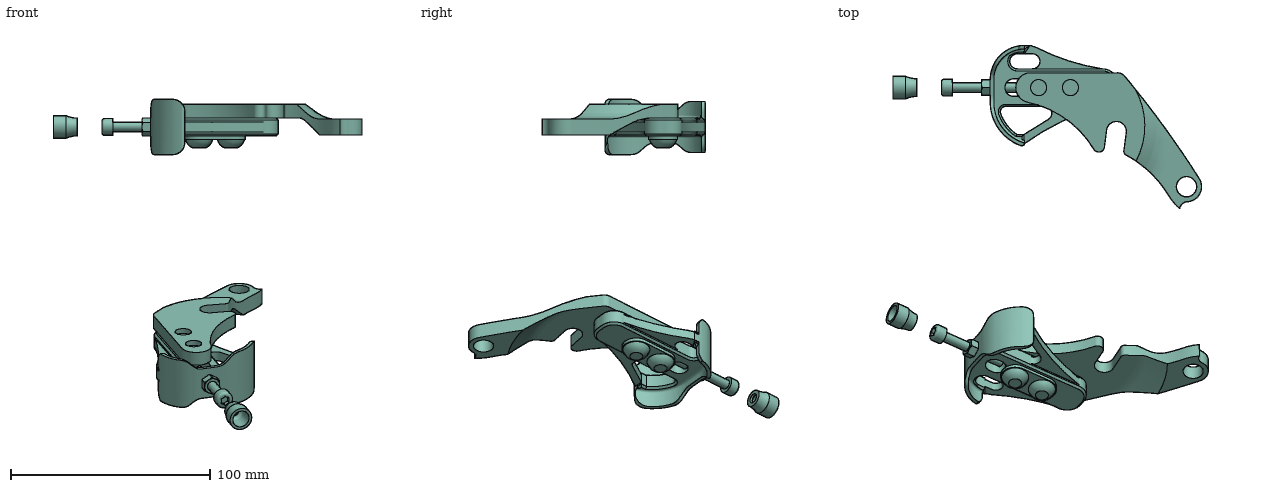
import cadquery as cq
import math


screw_dia = 5.0

cap_start_x = -48.8
cap_length = 12.1
cap_body_length = 6.4
cap_dia = 11.5
cap_neck_dia = 9.0
cap_bore_dia = 8.5
cap_end_wall = 1.5

screw_head_x = -24.5
screw_head_length = 5.6
screw_head_dia = 8.5
screw_head_round = 1.4
screw_length = 35.0
socket_flats = 4.2
socket_depth = 2.5

nut_flats = 7.9
nut_length = 4.3
nut_chamfer_rise = 0.5

guard_wall = 1.9
guard_half_height = 14.0
guard_rear_half_height = 12.9
guard_waist_half_height = 8.0
guard_flat_top_y = 4.0
guard_flat_bottom_y = -7.3
guard_rear_radius = 17.2
guard_front_radius = 23.2
guard_end_x = guard_rear_radius
guard_tip_round = 1.2
guard_mid_x = 5.5
guard_corner_radius = 6.2
guard_root_fillet = 1.2

rib_half_thickness = 4.5
rib_half_width = 9.5
rib_end_x = 64.2
rib_end_radius = 7.7
rib_chamfer = 1.1
flange_half_thickness = 2.5
flange_rear_x = 20.1
flange_rear_bend = (23.2, 20.1)
flange_rear_bulge = (34.9, 15.0)
flange_front_start = (guard_end_x, -28.2)
flange_front_bulge = (38.0, -16.1)
rear_window_start_x = 9.9
rear_window_end_x = 25.0
rear_window_top_y = 16.9
front_window_top = (7.7, -rib_half_width)
front_window_round = (5.7, -10.5)
front_window_side = (5.3, -12.9)
front_window_bulge = (8.7, -19.0)
front_window_corner = (13.5, -23.5)
front_window_tip = (16.9, -23.5)
front_window_far_start = (27.9, -rib_half_width)
front_window_far_round = (30.8, -12.4)
front_window_far_end = (29.1, -16.0)
rib_front_x = 14.5
rib_tip = (17.2, -27.5)
slot_start_x = 7.5
slot_end_x = 18.0
slot_width = 8.7

bolt_xs = (24.3, 40.3)
bolt_dia = 8.0
bolt_head_dia = 13.6
bolt_head_flat_dia = 6.5
bolt_dome_mid_dia = 11.8
bolt_head_height = 4.2
bolt_recess = 2.6
plate_thickness = 1.9
plate_width = 14.5

lever_thickness = 7.0
lever_nose_radius = 7.5
lever_nose_x = 20.3
foot_thickness = 8.0
foot_hole_dia = 10.0
foot_x = 98.5
foot_y = -49.7
foot_radius = 7.6
hook_x = 63.4
hook_y = -22.0
hook_radius = 5.0
bend_axis = (39.8, -19.2)
bend_start_radius = 37.8
bend_under_start_radius = 38.7
bend_slope = math.radians(36)
bend_top_fillet = 15.5
bend_under_fillet = 7.7

guard_rear_y = guard_flat_top_y + guard_rear_radius
plate_top_z = -rib_half_thickness
plate_bottom_z = plate_top_z - plate_thickness
lever_top_z = rib_half_thickness + lever_thickness
foot_top_z = foot_thickness / 2


def rod(start_x, end_x, diameter):
    """Cylinder on the screw axis."""
    return cq.Workplane("YZ").workplane(offset=start_x).circle(diameter / 2).extrude(end_x - start_x)


def upright(x, diameter, bottom_z, top_z):
    """Vertical cylinder on the centre line."""
    base = cq.Workplane("XY", origin=(x, 0, bottom_z))
    return base.circle(diameter / 2).extrude(top_z - bottom_z)


def centred_slab(outline, half_thickness):
    """Closed plan outline thickened equally above and below Z = 0."""
    return outline.extrude(half_thickness, both=True)


def make_cap():
    end_x = cap_start_x + cap_length
    taper_x = cap_start_x + cap_body_length
    outer_r = cap_dia / 2
    neck_r = cap_neck_dia / 2
    bore_r = cap_bore_dia / 2
    hole_r = screw_dia / 2
    bore_round = bore_r - hole_r
    bore_end_x = end_x - cap_end_wall
    bend = bore_round * math.sqrt(0.5)
    profile = (
        cq.Workplane("XY")
        .moveTo(cap_start_x, bore_r)
        .lineTo(cap_start_x, outer_r)
        .lineTo(taper_x, outer_r)
        .threePointArc(((taper_x + end_x) / 2, neck_r + (outer_r - neck_r) / 4), (end_x, neck_r))
        .lineTo(end_x, hole_r)
        .lineTo(bore_end_x, hole_r)
        .threePointArc((bore_end_x - bore_round + bend, hole_r + bend), (bore_end_x - bore_round, bore_r))
        .close()
    )
    return profile.revolve(360, (0, 0, 0), (1, 0, 0))


def make_screw():
    shoulder_x = screw_head_x + screw_head_length
    head = rod(screw_head_x, shoulder_x, screw_head_dia).faces("<X").edges().fillet(screw_head_round)
    shank = rod(shoulder_x, shoulder_x + screw_length, screw_dia)
    socket = (
        cq.Workplane("YZ", origin=(screw_head_x, 0, 0))
        .transformed(rotate=(0, 0, 90))
        .polygon(6, socket_flats / math.cos(math.pi / 6))
        .extrude(socket_depth)
    )
    return head.union(shank).cut(socket)


def make_nut():
    corner_r = nut_flats / 2 / math.cos(math.pi / 6)
    hexagon = (
        cq.Workplane("YZ", origin=(-nut_length, 0, 0))
        .transformed(rotate=(0, 0, 90))
        .polygon(6, 2 * corner_r)
        .extrude(nut_length)
    )
    envelope = rod(-nut_length, 0, 2 * corner_r).faces("<X").edges().chamfer(
        nut_chamfer_rise, corner_r - nut_flats / 2
    )
    return hexagon.intersect(envelope).cut(rod(-nut_length, 0, screw_dia))


rear_centre = (guard_rear_radius, guard_flat_top_y)
front_centre = (guard_front_radius, guard_flat_bottom_y)


def on_rear_arc(inset, x):
    """Point on the rear guard arc, moved inward by inset."""
    radius = guard_rear_radius - inset
    return (x, rear_centre[1] + math.sqrt(radius**2 - (x - rear_centre[0]) ** 2))


def on_front_arc(inset, x):
    """Point on the front guard arc, moved inward by inset."""
    radius = guard_front_radius - inset
    return (x, front_centre[1] - math.sqrt(radius**2 - (x - front_centre[0]) ** 2))


def guard_band(outer_inset, inner_inset, half_height):
    """Band that follows the guard between two distances from its outer face."""
    outline = (
        cq.Workplane("XY")
        .moveTo(outer_inset, guard_flat_bottom_y)
        .lineTo(outer_inset, guard_flat_top_y)
        .threePointArc(on_rear_arc(outer_inset, guard_mid_x), on_rear_arc(outer_inset, guard_end_x))
        .lineTo(*on_rear_arc(inner_inset, guard_end_x))
        .threePointArc(on_rear_arc(inner_inset, guard_mid_x), (inner_inset, guard_flat_top_y))
        .lineTo(inner_inset, guard_flat_bottom_y)
        .threePointArc(on_front_arc(inner_inset, guard_mid_x), on_front_arc(inner_inset, guard_end_x))
        .lineTo(*on_front_arc(outer_inset, guard_end_x))
        .threePointArc(on_front_arc(outer_inset, guard_mid_x), (outer_inset, guard_flat_bottom_y))
        .close()
    )
    return centred_slab(outline, half_height)


def make_guard():
    wall = guard_band(0, guard_wall, guard_half_height)
    wall = wall.edges("|Z").edges("<Y").fillet(guard_tip_round)
    wall = wall.union(make_guard_root())
    return wall.intersect(make_waist()).intersect(make_end_rounding())


def make_guard_root():
    """Inner part of the guard wall, filleted to the level of the rib's top and bottom."""
    core = guard_wall / 2
    root_end = guard_wall + guard_root_fillet
    ledge = 1.5 * root_end
    root = guard_band(core, guard_wall, guard_waist_half_height).union(
        guard_band(core, ledge, rib_half_thickness)
    )
    root_points = [
        on_rear_arc(guard_wall, guard_mid_x),
        (guard_wall, (guard_flat_top_y + guard_flat_bottom_y) / 2),
        on_front_arc(guard_wall, guard_mid_x),
    ]
    root_edges = []
    for x, y in root_points:
        for z in (-rib_half_thickness, rib_half_thickness):
            root_edges += root.edges(cq.selectors.NearestToPointSelector((x, y, z))).vals()
    root = root.newObject(root_edges).fillet(guard_root_fillet)
    return root.intersect(guard_band(core, root_end, guard_waist_half_height))


def make_waist():
    """Guard height along Y: lowest around the screw, highest on the front side."""
    rear_y = 31.0
    rear_crest_y = 14.3
    waist_rear_y = 4.0
    waist_front_y = -4.0
    front_crest_y = -16.5
    front_y = -38.7
    upper = (
        cq.Workplane("YZ")
        .moveTo(rear_y, 0)
        .lineTo(rear_y, guard_rear_half_height)
        .lineTo(rear_crest_y, guard_rear_half_height)
        .spline([(waist_rear_y, guard_waist_half_height)], tangents=[(-1, 0), (-1, 0)], includeCurrent=True)
        .lineTo(waist_front_y, guard_waist_half_height)
        .spline([(front_crest_y, guard_half_height)], tangents=[(-1, 0), (-1, 0)], includeCurrent=True)
        .lineTo(front_y, guard_half_height)
        .lineTo(front_y, 0)
        .close()
        .extrude(rear_y)
    )
    return upper.union(upper.mirror("XY"))


def make_end_rounding():
    """Block that rounds the free corners of the guard."""
    reach_y = 77.5
    block = cq.Workplane("XY").box(guard_end_x, reach_y, 2 * guard_half_height, centered=(False, True, True))
    return block.edges("|Y and >X").fillet(guard_corner_radius)


def make_flange():
    """Thin part of the web, with one window on each side of the rib."""
    shoulder_x = rib_end_x - rib_end_radius
    buried = guard_wall / 2
    outline = (
        cq.Workplane("XY")
        .moveTo(*flange_front_start)
        .threePointArc(flange_front_bulge, (shoulder_x, -rib_half_width))
        .lineTo(shoulder_x, rib_half_width)
        .threePointArc(flange_rear_bulge, flange_rear_bend)
        .lineTo(flange_rear_x, guard_rear_y)
        .lineTo(*on_rear_arc(0, guard_rear_radius))
        .lineTo(*on_rear_arc(buried, guard_end_x))
        .threePointArc(on_rear_arc(buried, guard_mid_x), (buried, guard_flat_top_y))
        .lineTo(buried, guard_flat_bottom_y)
        .threePointArc(on_front_arc(buried, guard_mid_x), on_front_arc(buried, guard_end_x))
        .close()
    )
    flange = centred_slab(outline, flange_half_thickness)
    return flange.cut(make_rear_window()).cut(make_front_window())


def make_rear_window():
    outline = (
        cq.Workplane("XY")
        .center((rear_window_start_x + rear_window_end_x) / 2, (rear_window_top_y + rib_half_width) / 2)
        .slot2D(rear_window_end_x - rear_window_start_x, rear_window_top_y - rib_half_width)
    )
    return centred_slab(outline, rib_half_thickness)


def make_front_window():
    outline = (
        cq.Workplane("XY")
        .moveTo(*front_window_top)
        .lineTo(*front_window_far_start)
        .threePointArc(front_window_far_round, front_window_far_end)
        .lineTo(*front_window_tip)
        .lineTo(*front_window_corner)
        .threePointArc(front_window_bulge, front_window_side)
        .threePointArc(front_window_round, front_window_top)
        .close()
    )
    return centred_slab(outline, rib_half_thickness)


def make_rib():
    """Thick middle of the web, carried along the inside of the guard to both of its ends."""
    buried = 0.5
    window_radius = (rear_window_top_y - rib_half_width) / 2
    window_round_x = rear_window_start_x + window_radius
    shoulder_x = rib_end_x - rib_end_radius
    corner = rib_end_radius * (1 - math.sqrt(0.5))
    corner_end_y = rib_half_width - rib_end_radius
    outline = (
        cq.Workplane("XY")
        .moveTo(rib_end_x, -corner_end_y)
        .lineTo(rib_end_x, corner_end_y)
        .threePointArc((rib_end_x - corner, rib_half_width - corner), (shoulder_x, rib_half_width))
        .lineTo(window_round_x, rib_half_width)
        .threePointArc(
            (rear_window_start_x, rib_half_width + window_radius), (window_round_x, rear_window_top_y)
        )
        .lineTo(guard_rear_radius, rear_window_top_y)
        .lineTo(flange_rear_x - buried, guard_rear_y - buried)
        .lineTo(*on_rear_arc(buried, guard_rear_radius))
        .threePointArc(on_rear_arc(buried, guard_mid_x), (buried, guard_flat_top_y))
        .lineTo(buried, guard_flat_bottom_y)
        .threePointArc(on_front_arc(buried, guard_mid_x), on_front_arc(buried, rib_front_x))
        .lineTo(*rib_tip)
        .lineTo(*front_window_tip)
        .lineTo(*front_window_corner)
        .threePointArc(front_window_bulge, front_window_side)
        .threePointArc(front_window_round, front_window_top)
        .lineTo(shoulder_x, -rib_half_width)
        .threePointArc((rib_end_x - corner, corner - rib_half_width), (rib_end_x, -corner_end_y))
        .close()
    )
    return centred_slab(outline, rib_half_thickness).faces("|Z").edges().chamfer(rib_chamfer)


def make_bracket():
    bracket = make_guard().union(make_flange()).union(make_rib())
    slot = (
        cq.Workplane("XY")
        .center((slot_start_x + slot_end_x) / 2, 0)
        .slot2D(slot_end_x - slot_start_x, slot_width)
    )
    bracket = bracket.cut(centred_slab(slot, rib_half_thickness))
    bracket = bracket.cut(rod(0, slot_end_x - slot_width / 2, screw_dia))
    for x in bolt_xs:
        bracket = bracket.cut(upright(x, bolt_dia, -rib_half_thickness, rib_half_thickness))
    return bracket


def make_washer_plate():
    span = bolt_xs[1] - bolt_xs[0]
    plate = (
        cq.Workplane("XY", origin=(sum(bolt_xs) / 2, 0, plate_bottom_z))
        .slot2D(span + plate_width, plate_width)
        .extrude(plate_thickness)
    )
    for x in bolt_xs:
        plate = plate.cut(upright(x, bolt_dia, plate_bottom_z, plate_top_z))
    return plate


def make_bolt(x):
    head_bottom_z = plate_bottom_z - bolt_head_height
    dome = (bolt_dome_mid_dia / 2, plate_bottom_z - bolt_head_height / 2)
    head = (
        cq.Workplane("XZ")
        .moveTo(0, plate_bottom_z)
        .lineTo(bolt_head_dia / 2, plate_bottom_z)
        .threePointArc(dome, (bolt_head_flat_dia / 2, head_bottom_z))
        .lineTo(0, head_bottom_z)
        .close()
        .revolve(360, (0, 0, 0), (0, 1, 0))
        .translate((x, 0, 0))
    )
    return head.union(upright(x, bolt_dia, plate_bottom_z, lever_top_z - bolt_recess))


def make_lever_outline():
    """Plan outline, clockwise from below the round nose."""
    nose_start = (18.6, -7.3)
    nose_tip = (lever_nose_x - lever_nose_radius, 0)
    shoulder_start = (63.5, lever_nose_radius)
    shoulder_round = (65.7, 7.1)
    shoulder_end = (67.4, 5.9)
    back_bulge = (87.1, -19.4)
    back_end = (104.9, -45.5)
    diagonal = foot_radius * math.sqrt(0.5)
    foot_round = (foot_x + diagonal, foot_y - diagonal)
    foot_end = (foot_x, foot_y - foot_radius)
    notch = (96.4, -58.5)
    beak = (95.2, -60.8)
    beak_side = (93.1, -58.9)
    shin_end = (89.1, -53.5)
    shin_hollow = (79.5, -41.8)
    shin_start = (68.3, -34.0)
    heel_round = (67.3, -32.9)
    heel_end = (67.1, -31.5)
    finger_start = (57.5, -29.3)
    finger_tip = (54.5, -32.4)
    finger_end = (52.2, -31.3)
    belly = (38.3, -16.0)
    return (
        cq.Workplane("XY")
        .moveTo(*nose_start)
        .threePointArc(nose_tip, (lever_nose_x, lever_nose_radius))
        .lineTo(*shoulder_start)
        .threePointArc(shoulder_round, shoulder_end)
        .threePointArc(back_bulge, back_end)
        .threePointArc(foot_round, foot_end)
        .threePointArc(notch, beak)
        .threePointArc(beak_side, shin_end)
        .threePointArc(shin_hollow, shin_start)
        .threePointArc(heel_round, heel_end)
        .lineTo(hook_x + hook_radius, hook_y)
        .threePointArc((hook_x, hook_y + hook_radius), (hook_x - hook_radius, hook_y))
        .lineTo(*finger_start)
        .threePointArc(finger_tip, finger_end)
        .threePointArc(belly, nose_start)
        .close()
    )


def make_lever_bend():
    """Solid of revolution that sets the lever's top and bottom: flat, sloped, then flat again."""
    far_radius = 93.0
    run = math.sin(bend_slope)
    rise = 1 - math.cos(bend_slope)
    half_run = math.sin(bend_slope / 2)
    half_rise = 1 - math.cos(bend_slope / 2)

    cone_end_z = foot_top_z + bend_top_fillet * rise
    cone_end_r = bend_start_radius + (lever_top_z - cone_end_z) / math.tan(bend_slope)
    top_end_r = cone_end_r + bend_top_fillet * run

    under_cone_r = bend_under_start_radius + bend_under_fillet * run
    under_cone_z = rib_half_thickness - bend_under_fillet * rise
    under_end_r = under_cone_r + (under_cone_z + foot_top_z) / math.tan(bend_slope)

    return (
        cq.Workplane("XZ")
        .moveTo(0, rib_half_thickness)
        .lineTo(0, lever_top_z)
        .lineTo(bend_start_radius, lever_top_z)
        .lineTo(cone_end_r, cone_end_z)
        .threePointArc(
            (top_end_r - bend_top_fillet * half_run, foot_top_z + bend_top_fillet * half_rise),
            (top_end_r, foot_top_z),
        )
        .lineTo(far_radius, foot_top_z)
        .lineTo(far_radius, -foot_top_z)
        .lineTo(under_end_r, -foot_top_z)
        .lineTo(under_cone_r, under_cone_z)
        .threePointArc(
            (
                bend_under_start_radius + bend_under_fillet * half_run,
                rib_half_thickness - bend_under_fillet * half_rise,
            ),
            (bend_under_start_radius, rib_half_thickness),
        )
        .close()
        .revolve(360, (0, 0, 0), (0, 1, 0))
        .translate((bend_axis[0], bend_axis[1], 0))
    )


def make_lever():
    lever = centred_slab(make_lever_outline(), lever_top_z).intersect(make_lever_bend())
    foot_hole = cq.Workplane("XY").center(foot_x, foot_y).circle(foot_hole_dia / 2)
    lever = lever.cut(centred_slab(foot_hole, foot_thickness))
    for x in bolt_xs:
        lever = lever.cut(upright(x, bolt_dia, rib_half_thickness, lever_top_z))
    return lever


cap = make_cap()
screw = make_screw()
nut = make_nut()
bracket = make_bracket()
washer_plate = make_washer_plate()
bolts = [make_bolt(x) for x in bolt_xs]
lever = make_lever()

result = cq.Compound.makeCompound(
    [
        cap.val(),
        screw.val(),
        nut.val(),
        bracket.val(),
        washer_plate.val(),
        *[bolt.val() for bolt in bolts],
        lever.val(),
    ]
)